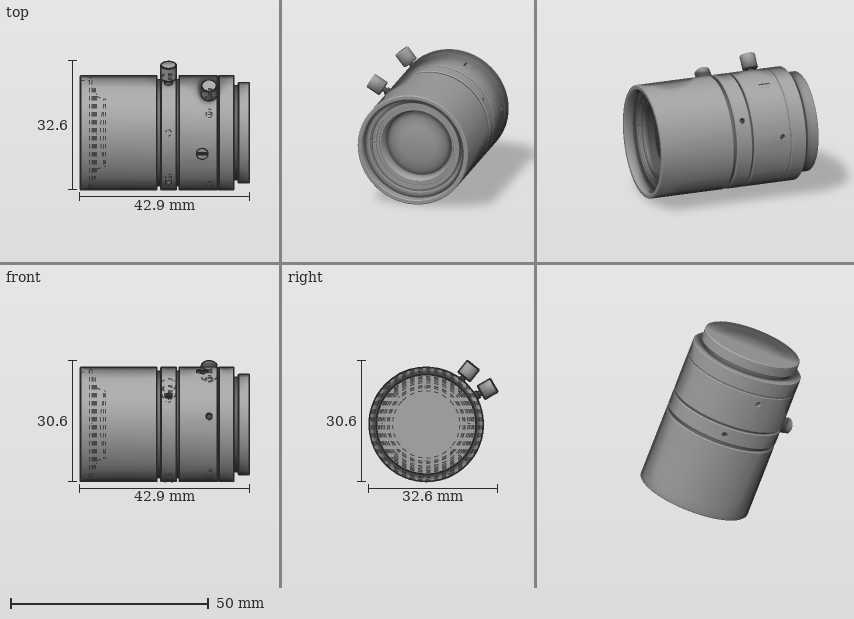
import cadquery as cq
import math

total_length = 42.87
body_radius = 14.5
front_chamfer = 0.22
rear_chamfer = 0.12

sleeve_end = 19.4
ring_start = 20.35
ring_end = 24.35
housing_start = 24.95
housing_end = 34.7
flange_start = 34.95
flange_end = 38.87
mount_start = 39.95

ring_groove_radius = 13.5
flange_groove_radius = 14.2
mount_groove_radius = 12.0
mount_radius = 12.75
section_overlap = 1.0

opening_radius = 13.5
opening_chamfer = 0.2
opening_depth = 2.3
relief_radius = 13.9
shoulder_depth = 3.0
seat_radius = 12.15
seat_bevel_depth = 3.1
step_radius = 12.0
step_depth = 3.55
ring_gap_radius = 11.7
ring_gap_depth = 3.85
outer_ring_radius = 11.35
outer_ring_step_radius = 10.95
outer_ring_step = 0.25
outer_ring_bore = 10.55
ledge_depth = 3.7
ledge_bore = 9.85
inner_ring_radius = 9.7
inner_ring_gap_depth = 4.1
inner_ring_depth = 3.8
cone_radius = 9.35
lens_radius = 8.5
cone_depth = 5.9
lens_edge_depth = 6.45
lens_dome_height = 1.4

slot_width = 0.5

ring_screw_angle = 30.0
housing_screw_angle = 51.5
ring_screw_x = (ring_start + ring_end) / 2
housing_screw_x = 32.6
screw_spacing = 120.0
screws_per_set = 3
screw_hole_radius = 0.75
screw_hole_depth = 2.0
cut_clearance = 1.0

knob_radius = 2.0
knob_length = 3.9
knob_chamfer = 0.2
ring_knob_base = 15.98
housing_knob_base = 15.3
neck_radius = 0.65
collar_radius = 1.0
neck_length = 0.75
screw_root = 12.5

flat_screw_x = 30.86
flat_screw_angle = housing_screw_angle + screw_spacing / 2
flat_screw_radius = 1.5
flat_screw_sink = 1.0
flat_slot_width = 0.5
flat_slot_depth = 0.4


def radial_plane(x, angle, distance):
    """Plane whose normal points away from the X axis; the angle runs from +Y towards +Z."""
    direction = cq.Vector(0, math.cos(math.radians(angle)), math.sin(math.radians(angle)))
    origin = cq.Vector(x, 0, 0) + direction * distance
    return cq.Plane(origin=origin, xDir=(1, 0, 0), normal=direction)


def radial_cylinder(x, angle, start, end, radius):
    return cq.Workplane(radial_plane(x, angle, start)).circle(radius).extrude(end - start)


def disc(start, end, radius):
    return cq.Workplane("YZ").workplane(offset=start).circle(radius).extrude(end - start)


def chamfered_disc(start, end, radius, front, rear):
    section = disc(start, end, radius)
    section = section.faces("<X").chamfer(front)
    return section.faces(">X").chamfer(rear)


def groove_core(start, end, radius):
    """Floor of the groove between two neighbouring sections, reaching into both of them."""
    return disc(start - section_overlap, end + section_overlap, radius)


def barrel():
    body = chamfered_disc(0, sleeve_end, body_radius, front_chamfer, rear_chamfer)
    body_sections = (
        (ring_start, ring_end),
        (housing_start, housing_end),
        (flange_start, flange_end),
    )
    for start, end in body_sections:
        body = body.union(chamfered_disc(start, end, body_radius, front_chamfer, rear_chamfer))
    mount = chamfered_disc(mount_start, total_length, mount_radius, front_chamfer, front_chamfer)
    body = body.union(mount)
    grooves = (
        (sleeve_end, ring_start, ring_groove_radius),
        (ring_end, housing_start, ring_groove_radius),
        (housing_end, flange_start, flange_groove_radius),
        (flange_end, mount_start, mount_groove_radius),
    )
    for start, end, radius in grooves:
        body = body.union(groove_core(start, end, radius))
    return body


def front_opening():
    """Stepped cavity in front of the lens, closed at the back by the domed lens face."""
    bore_radius = opening_radius - opening_chamfer
    ring_step_face = shoulder_depth + outer_ring_step
    dome_radius = (lens_radius**2 + lens_dome_height**2) / (2 * lens_dome_height)
    dome_center = lens_edge_depth - lens_dome_height + dome_radius
    profile = (
        cq.Workplane("XY")
        .moveTo(0, 0)
        .lineTo(0, opening_radius)
        .lineTo(opening_chamfer, bore_radius)
        .lineTo(opening_depth, bore_radius)
        .lineTo(opening_depth, relief_radius)
        .lineTo(shoulder_depth, relief_radius)
        .lineTo(shoulder_depth, seat_radius)
        .lineTo(seat_bevel_depth, step_radius)
        .lineTo(step_depth, step_radius)
        .lineTo(step_depth, ring_gap_radius)
        .lineTo(ring_gap_depth, ring_gap_radius)
        .lineTo(ring_gap_depth, outer_ring_radius)
        .lineTo(shoulder_depth, outer_ring_radius)
        .lineTo(shoulder_depth, outer_ring_step_radius)
        .lineTo(ring_step_face, outer_ring_step_radius)
        .lineTo(ring_step_face, outer_ring_bore)
        .lineTo(ledge_depth, outer_ring_bore)
        .lineTo(ledge_depth, ledge_bore)
        .lineTo(inner_ring_gap_depth, ledge_bore)
        .lineTo(inner_ring_gap_depth, inner_ring_radius)
        .lineTo(inner_ring_depth, inner_ring_radius)
        .lineTo(inner_ring_depth, cone_radius)
        .lineTo(cone_depth, lens_radius)
        .lineTo(lens_edge_depth, lens_radius)
        .lineTo(lens_edge_depth, 0)
        .close()
    )
    cavity = profile.revolve(360, (0, 0, 0), (1, 0, 0))
    dome = cq.Workplane("XY").sphere(dome_radius).translate((dome_center, 0, 0))
    return cavity.cut(dome)


def cut_spanner_slots(body):
    """Slots across the outer retaining ring at +-Y and across the inner one at +-Z."""
    outer_slots = cq.Workplane("XY").box(
        ledge_depth, 2 * outer_ring_radius, slot_width, centered=(False, True, True)
    )
    inner_slots = cq.Workplane("XY").box(
        inner_ring_gap_depth, slot_width, 2 * inner_ring_radius, centered=(False, True, True)
    )
    return body.cut(outer_slots).cut(inner_slots)


def cut_screw_holes(body, x, knob_angle):
    """Drill the threaded holes that carry no knob."""
    bottom = body_radius - screw_hole_depth
    top = body_radius + cut_clearance
    for index in range(1, screws_per_set):
        angle = knob_angle + index * screw_spacing
        body = body.cut(radial_cylinder(x, angle, bottom, top, screw_hole_radius))
    return body


def knob_screw(x, angle, base):
    head = radial_cylinder(x, angle, base, base + knob_length, knob_radius)
    head = head.edges().chamfer(knob_chamfer)
    neck = radial_cylinder(x, angle, screw_root, base + knob_length / 2, neck_radius)
    collar = radial_cylinder(x, angle, screw_root, base - neck_length, collar_radius)
    return head.union(neck).union(collar)


def add_flat_screw(body):
    seat = body_radius - flat_screw_sink
    head = radial_cylinder(flat_screw_x, flat_screw_angle, seat, body_radius, flat_screw_radius)
    floor = radial_plane(flat_screw_x, flat_screw_angle, body_radius - flat_slot_depth)
    slot = cq.Workplane(floor).rect(2 * flat_screw_radius, flat_slot_width)
    slot = slot.extrude(flat_slot_depth + cut_clearance)
    return body.union(head).cut(slot)


lens = barrel().cut(front_opening())
lens = cut_spanner_slots(lens)
lens = cut_screw_holes(lens, ring_screw_x, ring_screw_angle)
lens = cut_screw_holes(lens, housing_screw_x, housing_screw_angle)
lens = lens.union(knob_screw(ring_screw_x, ring_screw_angle, ring_knob_base))
lens = lens.union(knob_screw(housing_screw_x, housing_screw_angle, housing_knob_base))
result = add_flat_screw(lens)